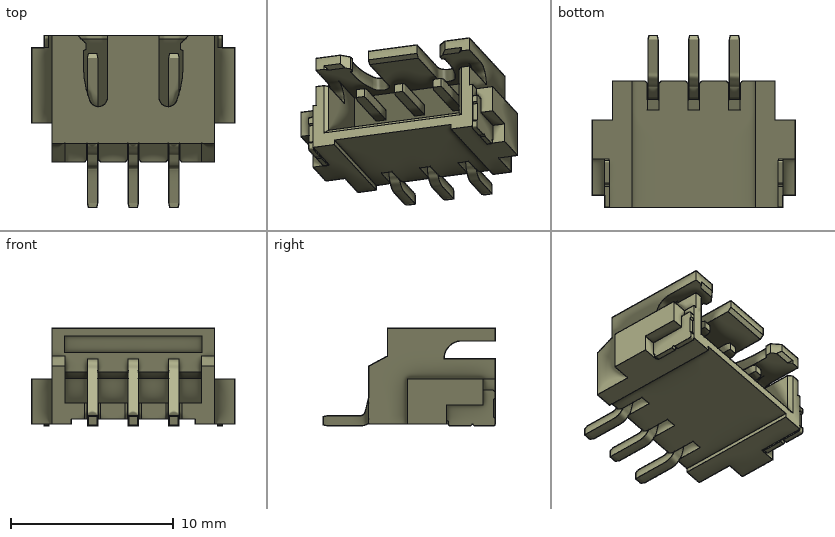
import cadquery as cq
import math


total_height = 6.02
total_depth = 10.6
overall_width = 12.5

body_half_width = 5.0
body_bottom = 0.12
roof_depth = 6.65
body_depth = 7.8
shoulder_high = 4.3
shoulder_low = 3.68
channel_half_width = 3.8
channel_top = 0.42

wall = 0.8
cavity_half_width = body_half_width - 0.75
cavity_depth = 5.0
cavity_floor = channel_top + wall
cavity_ceiling = total_height - wall
lead_in = 0.23

window_height = 1.08
window_bottom = cavity_ceiling - window_height
window_depth = 3.15
window_corner_radius = 0.99 * window_height

slot_inner_x = 1.585
slot_end_radius = 0.56
slot_depth = 4.38
slot_outer_x = 3.07
slot_outer_radius = 6.0
catch_x = 2.91
catch_front = 0.5
catch_back = 0.87
catch_slope_end = 0.94
mouth_x = 3.41

rear_recess_half_width = 4.24
rear_recess_bottom = 4.52
rear_recess_top = 5.52
rear_recess_depth = 0.5
pocket_half_width = 4.2
pocket_wall_depth = 6.0
pocket_slope_high = 3.33
pocket_slope_low = 2.92
shelf_top = 1.42

wing_half_width = overall_width / 2
wing_inner_half_width = 5.2
wing_top = 2.9
wing_depth = 5.4
wing_front = 0.76
wing_notch_depth = 3.0
wing_notch_top = 1.29

tab_inner_x = 5.18
tab_outer_x = 5.48
tab_front = 0.01
tab_top = 2.22
tab_round = 0.22
tab_foot_round = 0.13
tab_step = 0.1
front_relief_low = 0.45
front_relief_high = 1.73
toe_relief_top = 0.37
notch_center_depth = 1.41
notch_half_width = 0.12
notch_height = 0.12

pin_count = 3
pin_pitch = 2.5
pin_size = 0.64
pin_tip_depth = 1.12
pin_top = 4.12
bend_inner_radius = 0.3
bend_outer_radius = bend_inner_radius + pin_size
bend_angle = math.radians(76)
lower_bend_depth = 8.31
pin_taper_length = 0.28
pin_taper = 0.06
tail_slot_half_width = 0.35
tail_slot_chamfer = 0.15

pin_positions = [(i - (pin_count - 1) / 2) * pin_pitch for i in range(pin_count)]


def block(x_min, x_max, front, back, z_min, z_max):
    """Box between two depths behind the mating face."""
    size = (x_max - x_min, back - front, z_max - z_min)
    return cq.Workplane("XY").box(*size, centered=False).translate((x_min, -back, z_min))


def extrude_profile(profile, x_min, x_max):
    """Extrude a (Y, Z) outline, drawn on the YZ plane, from x_min to x_max."""
    return profile.extrude(x_max - x_min).translate((x_min, 0, 0))


def side_polygon(points, x_min, x_max):
    """Extrude a polygon of (depth, Z) points from x_min to x_max."""
    outline = cq.Workplane("YZ").polyline([(-depth, z) for depth, z in points]).close()
    return extrude_profile(outline, x_min, x_max)


def both_sides(shape):
    return shape.union(shape.mirror("YZ"))


def make_shell():
    shell = side_polygon(
        [
            (0, body_bottom),
            (0, total_height),
            (roof_depth, total_height),
            (roof_depth, shoulder_high),
            (body_depth, shoulder_low),
            (body_depth, body_bottom),
        ],
        -body_half_width,
        body_half_width,
    )
    channel = block(
        -channel_half_width, channel_half_width, 0, body_depth, body_bottom, channel_top
    )
    return shell.cut(channel)


def make_cavity():
    cavity = block(
        -cavity_half_width, cavity_half_width, 0, cavity_depth, cavity_floor, cavity_ceiling
    )
    flare = (
        cq.Workplane("XZ")
        .center(0, (cavity_floor + cavity_ceiling) / 2)
        .rect(2 * (cavity_half_width + lead_in), cavity_ceiling - cavity_floor + 2 * lead_in)
        .workplane(offset=lead_in)
        .rect(2 * cavity_half_width, cavity_ceiling - cavity_floor)
        .loft(ruled=True)
    )
    return cavity.union(flare)


def make_side_windows():
    window = block(
        -body_half_width, body_half_width, 0, window_depth, window_bottom, cavity_ceiling
    )
    return window.edges("|X and <Y and >Z").fillet(window_corner_radius)


def make_roof_slots():
    end_x = slot_inner_x + slot_end_radius
    end_depth = slot_depth - slot_end_radius

    bow_x = slot_outer_x - slot_outer_radius
    center_distance = slot_outer_radius - slot_end_radius
    tangent_angle = math.acos((end_x - bow_x) / center_distance)
    bow_depth = end_depth - center_distance * math.sin(tangent_angle)

    def on_bow(angle):
        x = bow_x + slot_outer_radius * math.cos(angle)
        return (x, -bow_depth - slot_outer_radius * math.sin(angle))

    slot = (
        cq.Workplane("XY")
        .moveTo(slot_inner_x, 0)
        .lineTo(mouth_x, 0)
        .lineTo(catch_x, -catch_front)
        .lineTo(catch_x, -catch_back)
        .lineTo(slot_outer_x, -catch_slope_end)
        .lineTo(slot_outer_x, -bow_depth)
        .threePointArc(on_bow(tangent_angle / 2), on_bow(tangent_angle))
        .threePointArc((end_x, -slot_depth), (slot_inner_x, -end_depth))
        .close()
        .extrude(total_height - window_bottom)
        .translate((0, 0, window_bottom))
    )
    return both_sides(slot)


def make_rear_recess():
    return block(
        -rear_recess_half_width,
        rear_recess_half_width,
        roof_depth - rear_recess_depth,
        roof_depth,
        rear_recess_bottom,
        rear_recess_top,
    )


def make_tail_pocket():
    return side_polygon(
        [
            (body_depth, shelf_top),
            (pocket_wall_depth, shelf_top),
            (pocket_wall_depth, pocket_slope_low),
            (roof_depth, pocket_slope_high),
            (roof_depth, shoulder_high),
            (body_depth, shoulder_high),
        ],
        -pocket_half_width,
        pocket_half_width,
    )


def make_tail_slot(x):
    """Slot through the rear shelf with chamfered rear corners."""
    half_mouth = tail_slot_half_width + tail_slot_chamfer
    chamfer_start = body_depth - tail_slot_chamfer
    return (
        cq.Workplane("XY")
        .moveTo(x - tail_slot_half_width, -pocket_wall_depth)
        .lineTo(x + tail_slot_half_width, -pocket_wall_depth)
        .lineTo(x + tail_slot_half_width, -chamfer_start)
        .lineTo(x + half_mouth, -body_depth)
        .lineTo(x - half_mouth, -body_depth)
        .lineTo(x - tail_slot_half_width, -chamfer_start)
        .close()
        .extrude(shelf_top)
    )


def make_wings():
    root = block(
        cavity_half_width + lead_in, wing_inner_half_width, 0, wing_depth, body_bottom, wing_top
    )
    outer = side_polygon(
        [
            (wing_front, wing_top),
            (wing_depth, wing_top),
            (wing_depth, body_bottom),
            (wing_notch_depth, body_bottom),
            (wing_notch_depth, wing_notch_top),
            (wing_front, wing_notch_top),
        ],
        wing_inner_half_width,
        wing_half_width,
    )
    return both_sides(root.union(outer))


def make_solder_tabs():
    relief_front = tab_front + tab_step
    toe_depth = wing_notch_depth - tab_step
    tab = side_polygon(
        [
            (tab_front, 0),
            (tab_front, tab_top),
            (wing_front, tab_top),
            (wing_front, wing_notch_top),
            (wing_notch_depth, wing_notch_top),
            (wing_notch_depth, toe_relief_top),
            (toe_depth, toe_relief_top - tab_step),
            (toe_depth, 0),
        ],
        tab_inner_x,
        tab_outer_x,
    )
    tab = tab.edges("|X and >Y and >Z").fillet(tab_round)
    tab = tab.edges("|X and <Z").fillet(tab_foot_round)
    front_relief = side_polygon(
        [
            (tab_front, front_relief_low),
            (tab_front, front_relief_high),
            (relief_front, front_relief_high - tab_step),
            (relief_front, front_relief_low + tab_step),
        ],
        tab_inner_x,
        tab_outer_x,
    )
    foot_notch = side_polygon(
        [
            (notch_center_depth - notch_half_width, 0),
            (notch_center_depth, notch_height),
            (notch_center_depth + notch_half_width, 0),
        ],
        tab_inner_x,
        tab_outer_x,
    )
    return both_sides(tab.cut(front_relief).cut(foot_notch))


def make_taper(x, z, start_depth, end_depth):
    """Tapered pin end; the full section is at start_depth."""
    tip_size = pin_size - 2 * pin_taper
    direction = 1 if end_depth > start_depth else -1
    return (
        cq.Workplane("XZ", origin=(x, -start_depth, z))
        .rect(pin_size, pin_size)
        .workplane(offset=direction * pin_taper_length)
        .rect(tip_size, tip_size)
        .loft(ruled=True)
    )


def make_pin(x):
    """Square pin: level contact, steep leg down, level solder tail."""
    upper_z = pin_top - bend_outer_radius
    lower_z = bend_outer_radius

    leg_top_z = upper_z + bend_outer_radius * math.cos(bend_angle)
    leg_bottom_z = lower_z - bend_inner_radius * math.cos(bend_angle)
    leg_run = (leg_top_z - leg_bottom_z) / math.tan(bend_angle)
    bend_reach = (bend_outer_radius + bend_inner_radius) * math.sin(bend_angle)
    upper_depth = lower_bend_depth - leg_run - bend_reach

    def upper(radius, angle):
        depth = upper_depth + radius * math.sin(angle)
        return (-depth, upper_z + radius * math.cos(angle))

    def lower(radius, angle):
        depth = lower_bend_depth - radius * math.sin(angle)
        return (-depth, lower_z - radius * math.cos(angle))

    contact_start = pin_tip_depth + pin_taper_length
    tail_end = total_depth - pin_taper_length
    half_angle = bend_angle / 2
    profile = (
        cq.Workplane("YZ")
        .moveTo(-contact_start, pin_top)
        .lineTo(*upper(bend_outer_radius, 0))
        .threePointArc(upper(bend_outer_radius, half_angle), upper(bend_outer_radius, bend_angle))
        .lineTo(*lower(bend_inner_radius, bend_angle))
        .threePointArc(lower(bend_inner_radius, half_angle), lower(bend_inner_radius, 0))
        .lineTo(-tail_end, pin_size)
        .lineTo(-tail_end, 0)
        .lineTo(*lower(bend_outer_radius, 0))
        .threePointArc(lower(bend_outer_radius, half_angle), lower(bend_outer_radius, bend_angle))
        .lineTo(*upper(bend_inner_radius, bend_angle))
        .threePointArc(upper(bend_inner_radius, half_angle), upper(bend_inner_radius, 0))
        .lineTo(-contact_start, pin_top - pin_size)
        .close()
    )
    pin = extrude_profile(profile, x - pin_size / 2, x + pin_size / 2)
    contact_tip = make_taper(x, pin_top - pin_size / 2, contact_start, pin_tip_depth)
    tail_tip = make_taper(x, pin_size / 2, tail_end, total_depth)
    return pin.union(contact_tip).union(tail_tip)


housing = make_shell().union(make_wings())
housing = housing.cut(make_cavity())
housing = housing.cut(make_side_windows())
housing = housing.cut(make_roof_slots())
housing = housing.cut(make_rear_recess())
housing = housing.cut(make_tail_pocket())
for pin_x in pin_positions:
    housing = housing.cut(make_tail_slot(pin_x))

result = housing.union(make_solder_tabs())
for pin_x in pin_positions:
    result = result.union(make_pin(pin_x))